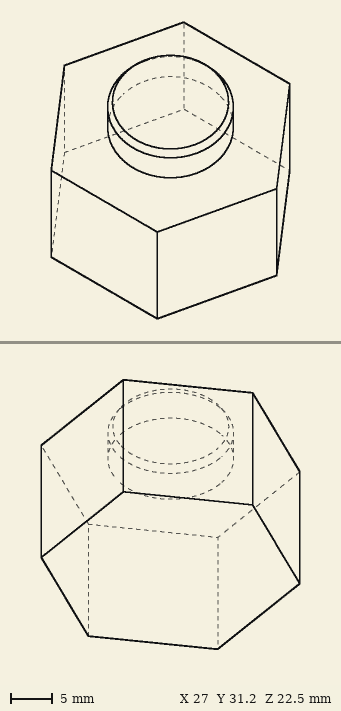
import cadquery as cq
import math

corner_diameter = 31.18
total_height = 22.5
body_height = 17.5

boss_diameter = 15.0
boss_height = total_height - body_height

chamfer_height = 1.0
chamfer_angle = math.radians(30)
chamfer_width = chamfer_height * math.tan(chamfer_angle)


def make_body():
    hexagon = cq.Workplane("XY").polygon(6, corner_diameter).extrude(body_height)
    return hexagon.rotate((0, 0, 0), (0, 0, 1), 90)


def make_boss():
    """Revolve half of the boss section around the Z axis."""
    radius = boss_diameter / 2
    section = (
        cq.Workplane("XZ")
        .moveTo(0, 0)
        .lineTo(radius, 0)
        .lineTo(radius, boss_height - chamfer_height)
        .lineTo(radius - chamfer_width, boss_height)
        .lineTo(0, boss_height)
        .close()
    )
    boss = section.revolve(360, (0, 0, 0), (0, 1, 0))
    return boss.translate((0, 0, body_height))


result = make_body().union(make_boss())